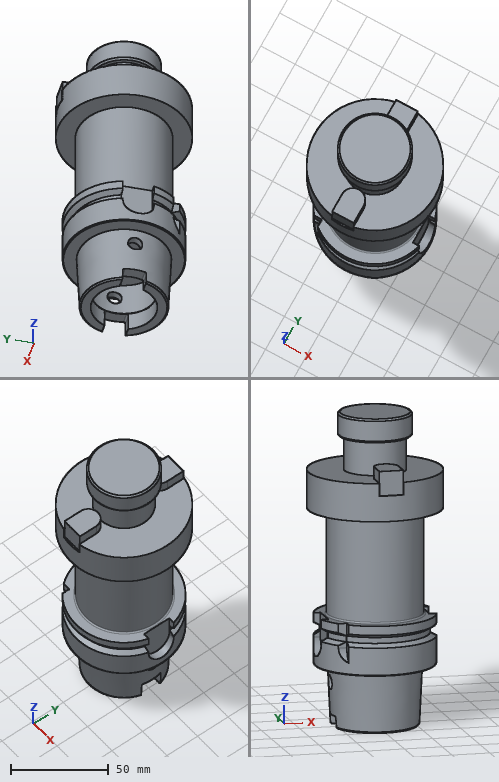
import cadquery as cq
TOTAL_HEIGHT = 163.8

SHANK_HEIGHT = 32.0
SHANK_TOP_RADIUS = 48.6 / 2
SHANK_END_RADIUS = 45.7 / 2
SHANK_END_CHAMFER = 0.8
BORE_MOUTH_RADIUS = 17.0
BORE_MOUTH_HEIGHT = 10.2
BORE_RADIUS = 20.0
CROSS_HOLE_RADIUS = 3.8
CROSS_HOLE_Z = 23.3
DRIVE_SLOT_WIDTH = 12.5
DRIVE_SLOT_CORNER_RADIUS = 1.0
LEFT_DRIVE_SLOT_HEIGHT = 6.4
RIGHT_DRIVE_SLOT_HEIGHT = 10.2

COLLAR_RADIUS = 63.0 / 2
COLLAR_TOP_Z = 58.1
COLLAR_CHAMFER = 0.5
GROOVE_FLOOR_RADIUS = 56.8 / 2
GROOVE_FLOOR_BOTTOM_Z = 48.5
GROOVE_FLOOR_TOP_Z = 51.5
GROOVE_FLANK_HEIGHT = 1.8

COLLAR_SLOT_WIDTH = 16.4
COLLAR_SLOT_BOTTOM_Z = 37.3
COLLAR_SLOT_FLOOR_X = 26.7
NOTCH_FLOOR_X = 20.0
NOTCH_WALL_Y = -20.0

BODY_RADIUS = 50.0 / 2
BODY_FOOT_FILLET = 0.8
FLANGE_RADIUS = 70.0 / 2
FLANGE_BOTTOM_Z = 113.6
FLANGE_TOP_Z = 133.6
PILOT_RADIUS = 16.0
HEAD_RADIUS = 38.2 / 2
HEAD_HEIGHT = 12.5
HEAD_CHAMFER = 1.0

KEY_WIDTH = 12.6
KEY_OUTER_Y = 33.9
KEY_INNER_Y = 17.0
KEY_TOP_Z = 139.8
KEY_SEAT_Z = 127.0


def turned_body():
    """Solid of revolution from the shank end up to the pilot head."""
    head_bottom = TOTAL_HEIGHT - HEAD_HEIGHT
    profile = (
        cq.Workplane("XZ")
        .moveTo(0, 0)
        .lineTo(SHANK_END_RADIUS - SHANK_END_CHAMFER, 0)
        .lineTo(SHANK_END_RADIUS, SHANK_END_CHAMFER)
        .lineTo(SHANK_TOP_RADIUS, SHANK_HEIGHT)
        .lineTo(COLLAR_RADIUS - COLLAR_CHAMFER, SHANK_HEIGHT)
        .lineTo(COLLAR_RADIUS, SHANK_HEIGHT + COLLAR_CHAMFER)
        .lineTo(COLLAR_RADIUS, GROOVE_FLOOR_BOTTOM_Z - GROOVE_FLANK_HEIGHT)
        .lineTo(GROOVE_FLOOR_RADIUS, GROOVE_FLOOR_BOTTOM_Z)
        .lineTo(GROOVE_FLOOR_RADIUS, GROOVE_FLOOR_TOP_Z)
        .lineTo(COLLAR_RADIUS, GROOVE_FLOOR_TOP_Z + GROOVE_FLANK_HEIGHT)
        .lineTo(COLLAR_RADIUS, COLLAR_TOP_Z)
        .lineTo(BODY_RADIUS + BODY_FOOT_FILLET, COLLAR_TOP_Z)
        .radiusArc((BODY_RADIUS, COLLAR_TOP_Z + BODY_FOOT_FILLET), BODY_FOOT_FILLET)
        .lineTo(BODY_RADIUS, FLANGE_BOTTOM_Z)
        .lineTo(FLANGE_RADIUS, FLANGE_BOTTOM_Z)
        .lineTo(FLANGE_RADIUS, FLANGE_TOP_Z)
        .lineTo(PILOT_RADIUS, FLANGE_TOP_Z)
        .lineTo(PILOT_RADIUS, head_bottom)
        .lineTo(HEAD_RADIUS - HEAD_CHAMFER, head_bottom)
        .lineTo(HEAD_RADIUS, head_bottom + HEAD_CHAMFER)
        .lineTo(HEAD_RADIUS, TOTAL_HEIGHT - HEAD_CHAMFER)
        .lineTo(HEAD_RADIUS - HEAD_CHAMFER, TOTAL_HEIGHT)
        .lineTo(0, TOTAL_HEIGHT)
        .close()
    )
    return profile.revolve(360, (0, 0, 0), (0, 1, 0))


def shank_bore():
    """Cutter for the hollow shank: a narrow mouth widening through a 45 degree cone."""
    cone_top = BORE_MOUTH_HEIGHT + BORE_RADIUS - BORE_MOUTH_RADIUS
    profile = (
        cq.Workplane("XZ")
        .moveTo(0, 0)
        .lineTo(BORE_MOUTH_RADIUS, 0)
        .lineTo(BORE_MOUTH_RADIUS, BORE_MOUTH_HEIGHT)
        .lineTo(BORE_RADIUS, cone_top)
        .lineTo(BORE_RADIUS, SHANK_HEIGHT)
        .lineTo(0, SHANK_HEIGHT)
        .close()
    )
    return profile.revolve(360, (0, 0, 0), (0, 1, 0))


def collar_slot(side, floor_x, center_y):
    """Cutter entering the collar rim along X, open at the top and round at the bottom."""
    radius = COLLAR_SLOT_WIDTH / 2
    round_center_z = COLLAR_SLOT_BOTTOM_Z + radius
    return (
        cq.Workplane("YZ", origin=(side * floor_x, center_y, 0))
        .moveTo(-radius, COLLAR_TOP_Z)
        .lineTo(-radius, round_center_z)
        .threePointArc((0, COLLAR_SLOT_BOTTOM_Z), (radius, round_center_z))
        .lineTo(radius, COLLAR_TOP_Z)
        .close()
        .extrude(side * COLLAR_RADIUS)
    )


def drive_slot(side, height):
    """Cutter through one shank wall, open at the shank end."""
    return (
        cq.Workplane("YZ")
        .rect(DRIVE_SLOT_WIDTH, 2 * height)
        .extrude(side * COLLAR_RADIUS)
        .edges("|X")
        .fillet(DRIVE_SLOT_CORNER_RADIUS)
    )


def key_outline(side, outer_y, bottom_z):
    """Key shape with a full-round inner end, from bottom_z up to the key top."""
    half_width = KEY_WIDTH / 2
    round_center_y = KEY_INNER_Y + half_width
    return (
        cq.Workplane("XY", origin=(0, 0, bottom_z))
        .moveTo(-half_width, side * outer_y)
        .lineTo(-half_width, side * round_center_y)
        .threePointArc((0, side * KEY_INNER_Y), (half_width, side * round_center_y))
        .lineTo(half_width, side * outer_y)
        .close()
        .extrude(KEY_TOP_Z - bottom_z)
    )


result = turned_body()

result = result.cut(shank_bore())
cross_hole = (
    cq.Workplane("YZ")
    .center(0, CROSS_HOLE_Z)
    .circle(CROSS_HOLE_RADIUS)
    .extrude(SHANK_TOP_RADIUS, both=True)
)
result = result.cut(cross_hole)
result = result.cut(drive_slot(-1, LEFT_DRIVE_SLOT_HEIGHT))
result = result.cut(drive_slot(1, RIGHT_DRIVE_SLOT_HEIGHT))

for slot_side in (-1, 1):
    result = result.cut(collar_slot(slot_side, COLLAR_SLOT_FLOOR_X, 0))
result = result.cut(collar_slot(-1, NOTCH_FLOOR_X, NOTCH_WALL_Y - COLLAR_SLOT_WIDTH / 2))

for key_side in (-1, 1):
    result = result.cut(key_outline(key_side, FLANGE_RADIUS, KEY_SEAT_Z))
    result = result.union(key_outline(key_side, KEY_OUTER_Y, KEY_SEAT_Z))